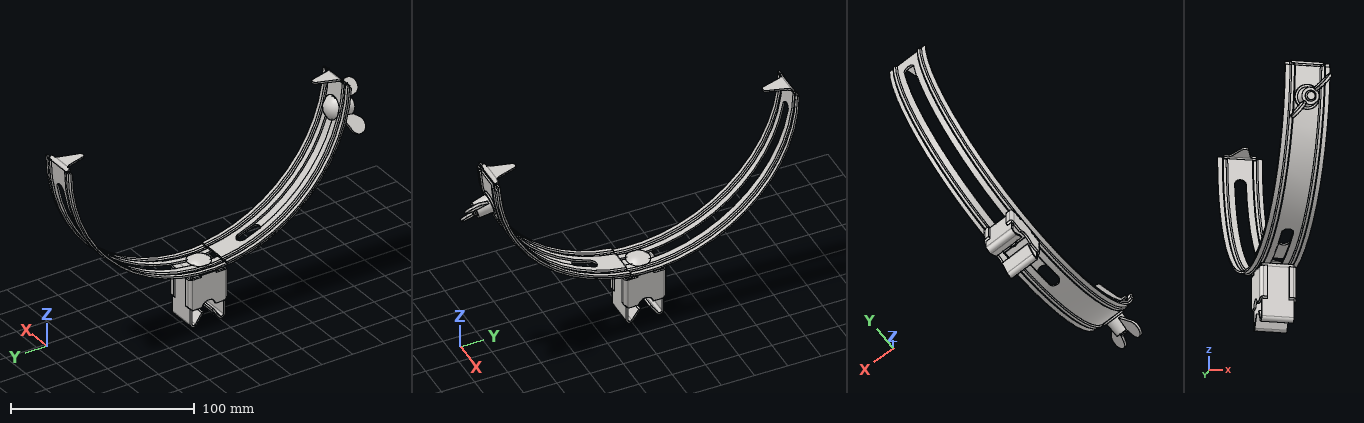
import cadquery as cq
import math

AXIS_START = (0, 0, 0)
AXIS_END = (1, 0, 0)

sheet = 1.2

strap_width = 25.0
long_strap_radius = 91.2
short_strap_radius = long_strap_radius - sheet
bead_height = 0.8
bead_half_width = 1.5
bead_crest_half_width = 0.8
bead_offset = 8.4
strap_top_z = 0.2
slot_width = 6.4
slot_top_angle = 80
long_strap_plain_end = -86.9
long_slot_low_angle = -23.9
short_strap_tilt = 1.9
short_strap_plain_end = 8.5
short_slot_low_angle = 20.2

lip_top_z = 1.4
bend_radius = 2.0
bend_half_width = 9.0
ear_inner_x = 9.2
lip_root_half_width = 6.4
lip_flare_half_width = 5.2
lip_flare_length = 1.8
lip_length = 14.4
lip_tip_radius = 2.2

shank_radius = 3.0
shank_length = 14.0
shank_chamfer = 0.8
head_radius = 7.2
hanging_head_height = 2.8
wing_head_height = 4.0
wing_bolt_angle = -76

flange_radius = 6.8
flange_height = 1.2
hub_base_radius = 5.5
hub_end_radius = 4.8
hub_height = 10.0
wing_turn = 50.5
wing_thickness = 1.5
wing_reach = 11.0
wing_tip_height = 12.2
wing_tip_radius = 5.2
wing_root_reach = 3.5
wing_root_low = 1.2
wing_root_high = 8.8

housing_width = 20.4
spring_width = housing_width - 2 * sheet
spring_half_depth = 11.4
spring_top_z = -(long_strap_radius + bead_height)
spring_bottom_z = -125.3
spring_bend_radius = 2.4
leg_slope = math.radians(55)
leg_tip_z = -117.7

housing_half_depth = spring_half_depth + sheet
housing_top_z = spring_top_z - sheet
housing_bottom_z = -113.7
housing_bend_radius = 1.8
wall_top_z = housing_top_z - sheet
neck_half_width = 4.8
flange_gap = 12.0
chamfer_depth = 2.0
chamfer_height = 1.8
notch_radius = 4.4
notch_drop = 0.8


def turned(body, angle):
    """Turn a body about the straps' axis, from the lowest point towards +Y."""
    return body.rotate(AXIS_START, AXIS_END, angle)


def swept(section, start, end):
    """Revolve a section drawn at the lowest point so that it fills the angles start to end."""
    body = section.revolve(end - start, AXIS_START, AXIS_END)
    return turned(body, start)


def radial_cylinder(radius, inner, outer):
    """Cylinder pointing away from the straps' axis at the lowest point."""
    return cq.Workplane("XY").workplane(offset=-outer).circle(radius).extrude(outer - inner)


def strap_section(radius):
    """Cross-section with two beads pressed outwards."""
    half = strap_width / 2
    outer, inner = -radius, sheet - radius
    section = cq.Workplane("XZ").moveTo(-half, outer)
    for x in (-bead_offset, bead_offset):
        section = section.lineTo(x - bead_half_width, outer)
        section = section.lineTo(x - bead_crest_half_width, outer - bead_height)
        section = section.lineTo(x + bead_crest_half_width, outer - bead_height)
        section = section.lineTo(x + bead_half_width, outer)
    section = section.lineTo(half, outer).lineTo(half, inner)
    for x in (bead_offset, -bead_offset):
        section = section.lineTo(x + bead_half_width, inner)
        section = section.lineTo(x + bead_crest_half_width, inner - bead_height)
        section = section.lineTo(x - bead_crest_half_width, inner - bead_height)
        section = section.lineTo(x - bead_half_width, inner)
    return section.lineTo(-half, inner).close()


def slot_cutter(start, end, radius):
    """Curved slot with round ends; the angles are those of the end centres."""
    depth = 2 * sheet
    section = cq.Workplane("XZ").moveTo(0, -radius).rect(slot_width, 2 * depth)
    cutter = swept(section, start, end)
    for angle in (start, end):
        cutter = cutter.union(turned(radial_cylinder(slot_width / 2, radius - depth, radius + depth), angle))
    return cutter


def lip(radius):
    """Bend at the strap's +Y top, ending in a flat pointed lip."""
    centre_y = radius - bend_radius
    centre_z = lip_top_z - bend_radius
    bend = (
        cq.Workplane("YZ")
        .circle(bend_radius)
        .circle(bend_radius - sheet)
        .extrude(bend_half_width, both=True)
        .intersect(cq.Workplane("XY").box(2 * bend_half_width, bend_radius, bend_radius, (True, False, False)))
        .translate((0, centre_y, centre_z))
    )
    tip_centre_y = centre_y - lip_length + lip_tip_radius
    flare_y = centre_y - lip_flare_length
    point = (
        cq.Workplane("XY")
        .workplane(offset=lip_top_z - sheet)
        .moveTo(-lip_root_half_width, centre_y)
        .lineTo(-lip_flare_half_width, flare_y)
        .lineTo(-lip_tip_radius, tip_centre_y)
        .threePointArc((0, tip_centre_y - lip_tip_radius), (lip_tip_radius, tip_centre_y))
        .lineTo(lip_flare_half_width, flare_y)
        .lineTo(lip_root_half_width, centre_y)
        .close()
        .extrude(sheet)
    )
    return bend.union(point)


def make_strap(radius, plain_end, slot_low_angle):
    """Strap whose lip is at the +Y top."""
    top_angle = 90 + math.degrees(math.asin(strap_top_z / radius))
    strap = swept(strap_section(radius), plain_end, top_angle)
    bend_start_z = lip_top_z - bend_radius
    clearance = cq.Workplane("XY").box(2 * ear_inner_x, 4 * bend_radius, bend_radius, (True, True, False))
    strap = strap.cut(clearance.translate((0, radius, bend_start_z)))
    strap = strap.union(lip(radius))
    return strap.cut(slot_cutter(slot_low_angle, slot_top_angle, radius))


def make_bolt(seat_radius, head_height, angle):
    """Round-headed bolt whose head rests on the inside of a strap."""
    crown = seat_radius - head_height
    sphere_radius = (head_radius**2 + head_height**2) / (2 * head_height)
    head = (
        radial_cylinder(head_radius, crown, seat_radius)
        .intersect(cq.Workplane("XY").sphere(sphere_radius).translate((0, 0, -crown - sphere_radius)))
        .intersect(cq.Workplane("YZ").circle(seat_radius).extrude(head_radius, both=True))
    )
    shank_end = seat_radius + shank_length
    shank = radial_cylinder(shank_radius, crown + head_height / 2, shank_end)
    shank = shank.faces("<Z").chamfer(shank_chamfer)
    return turned(head.union(shank), angle)


def wing():
    """Wing reaching towards +X, with straight edges tangent to its round tip."""
    def tangent_point(root_height, side):
        along = wing_reach - wing_root_reach
        up = wing_tip_height - root_height
        distance = math.hypot(along, up)
        direction = math.atan2(up, along) + math.pi
        direction += side * math.acos(wing_tip_radius / distance)
        return (
            wing_reach + wing_tip_radius * math.cos(direction),
            wing_tip_height + wing_tip_radius * math.sin(direction),
        )

    tip_direction = math.atan2(wing_tip_height - (wing_root_low + wing_root_high) / 2, wing_reach - wing_root_reach)
    tip = (
        wing_reach + wing_tip_radius * math.cos(tip_direction),
        wing_tip_height + wing_tip_radius * math.sin(tip_direction),
    )
    return (
        cq.Workplane("XZ")
        .moveTo(0, wing_root_low)
        .lineTo(wing_root_reach, wing_root_low)
        .lineTo(*tangent_point(wing_root_low, 1))
        .threePointArc(tip, tangent_point(wing_root_high, -1))
        .lineTo(wing_root_reach, wing_root_high)
        .lineTo(0, wing_root_high)
        .close()
        .extrude(wing_thickness / 2, both=True)
    )


def make_wing_nut():
    """Wing nut built upright on its base, then set on the outside of the long strap."""
    nut = cq.Workplane("XY").circle(flange_radius).extrude(flange_height)
    hub = cq.Workplane("XY").circle(hub_base_radius).workplane(offset=hub_height).circle(hub_end_radius).loft()
    nut = nut.union(hub)
    for turn in (0, 180):
        nut = nut.union(wing().rotate((0, 0, 0), (0, 0, 1), turn + wing_turn))
    nut = nut.cut(cq.Workplane("XY").circle(shank_radius).extrude(hub_height))
    nut = nut.rotate(AXIS_START, AXIS_END, 180).translate((0, 0, -long_strap_radius))
    return turned(nut, wing_bolt_angle)


def shank_hole():
    """Cutter for the hanging bolt's hole through the spring and the housing."""
    return radial_cylinder(shank_radius, long_strap_radius, long_strap_radius + shank_length)


def make_spring():
    """Sheet bent into a flat top, two upright sides and two legs that slope up inside."""
    fold_centre_y = spring_half_depth - spring_bend_radius
    fold_centre_z = spring_bottom_z + spring_bend_radius
    fold_inner_radius = spring_bend_radius - sheet
    across = (math.sin(leg_slope), math.cos(leg_slope))

    def leg_points(radius):
        start = (fold_centre_y - radius * across[0], fold_centre_z - radius * across[1])
        rise = leg_tip_z - start[1]
        return start, (start[0] - rise / math.tan(leg_slope), leg_tip_z)

    def fold_middle(radius):
        direction = -leg_slope / 2
        return (fold_centre_y + radius * math.sin(-direction), fold_centre_z - radius * math.cos(direction))

    outer_start, outer_tip = leg_points(spring_bend_radius)
    inner_start, inner_tip = leg_points(fold_inner_radius)
    inner_y = spring_half_depth - sheet
    half = (
        cq.Workplane("YZ")
        .moveTo(0, spring_top_z)
        .lineTo(fold_centre_y, spring_top_z)
        .radiusArc((spring_half_depth, spring_top_z - spring_bend_radius), spring_bend_radius)
        .lineTo(spring_half_depth, fold_centre_z)
        .threePointArc(fold_middle(spring_bend_radius), outer_start)
        .lineTo(*outer_tip)
        .lineTo(*inner_tip)
        .lineTo(*inner_start)
        .threePointArc(fold_middle(fold_inner_radius), (inner_y, fold_centre_z))
        .lineTo(inner_y, spring_top_z - spring_bend_radius)
        .radiusArc((fold_centre_y, spring_top_z - sheet), -fold_inner_radius)
        .lineTo(0, spring_top_z - sheet)
        .close()
        .extrude(spring_width / 2, both=True)
    )
    return half.union(half.mirror("XZ")).cut(shank_hole())


def make_housing():
    """Two walls with wrapped flanges, joined across the top by a narrow bridge."""
    height = wall_top_z - housing_bottom_z
    base = cq.Workplane("XY").workplane(offset=housing_bottom_z)
    tube = base.rect(housing_width, 2 * housing_half_depth).extrude(height)
    tube = tube.faces("<Z").edges("|X").chamfer(chamfer_height, chamfer_depth)
    tube = tube.edges("|Z").fillet(housing_bend_radius)
    tube = tube.cut(base.rect(spring_width, 2 * spring_half_depth).extrude(height))
    tube = tube.cut(base.rect(flange_gap, 2 * housing_half_depth).extrude(height))
    bridge = cq.Workplane("XY").workplane(offset=wall_top_z).rect(housing_width, 2 * neck_half_width)
    bridge = bridge.extrude(sheet)
    notch = cq.Workplane("YZ").center(0, housing_bottom_z - notch_drop).circle(notch_radius)
    notch = notch.extrude(housing_width, both=True)
    return tube.union(bridge).cut(notch).cut(shank_hole())


hanging_bolt = make_bolt(long_strap_radius - sheet, hanging_head_height, 0)
wing_bolt = make_bolt(short_strap_radius - sheet, wing_head_height, wing_bolt_angle)
wing_nut = make_wing_nut()

long_strap = make_strap(long_strap_radius, long_strap_plain_end, long_slot_low_angle)
long_strap = long_strap.cut(turned(radial_cylinder(shank_radius, short_strap_radius - sheet,
                                                   long_strap_radius + sheet), wing_bolt_angle))
short_strap = make_strap(short_strap_radius, short_strap_plain_end, short_slot_low_angle)
short_strap = turned(short_strap.rotate((0, 0, 0), (0, 0, 1), 180), short_strap_tilt)


spring = make_spring()
housing = make_housing()

result = cq.Compound.makeCompound(
    [
        long_strap.val(),
        short_strap.val(),
        hanging_bolt.val(),
        wing_bolt.val(),
        wing_nut.val(),
        spring.val(),
        housing.val(),
    ]
)